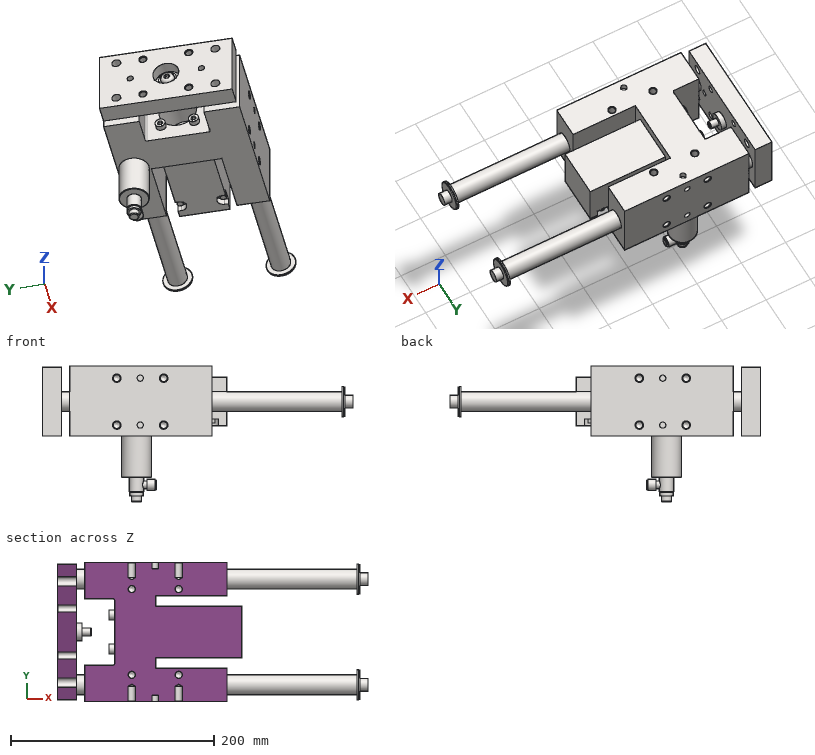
import cadquery as cq
import math

AXIS_Z = 34.0
ROD_Y = 52.0
ROD_DIA = 20.0
HOLE_PITCH = 46.2
PATTERN = HOLE_PITCH / 2

BLOCK_START = 27.0
BLOCK_LENGTH = 140.0
BLOCK_WIDTH = 137.0
BLOCK_HEIGHT = 69.2
FRONT_NOTCH_DEPTH = 29.5
FRONT_NOTCH_WIDTH = 65.2
FRONT_NOTCH_FILLET = 1.5
REAR_NOTCH_DEPTH = 70.0
REAR_NOTCH_WIDTH = 71.0
BLOCK_END = BLOCK_START + BLOCK_LENGTH
FRONT_NOTCH_FLOOR = BLOCK_START + FRONT_NOTCH_DEPTH
REAR_NOTCH_FLOOR = BLOCK_END - REAR_NOTCH_DEPTH

CENTRE_BORE_DIA = 38.0
CENTRE_BORE_DEPTH = 36.7
HEAD_DIA = 10.0
HEAD_HEIGHT = 5.5
HEAD_Y = 16.8
HEAD_RISE = 17.5
SOCKET_WIDTH = 4.5
SOCKET_DEPTH = 2.8
HEX_SIDES = 6

BOX_END = 181.8
BOX_WIDTH = 50.8
BOX_HEIGHT = 48.0
BOX_BOTTOM = 10.0
POCKET_DIA = 13.0
POCKET_HEIGHT = 6.7
POCKET_INSET = 3.7
POCKET_PIN_DIA = 6.0
POCKET_PIN_LENGTH = 3.7

HOLE_X = 96.5
THREAD_DIA = 6.7
THREAD_MOUTH_DIA = 8.3
THREAD_DEPTH = 15.0
DOWEL_DIA = 6.0
DOWEL_DEPTH = 6.0
TOP_THREAD_Y = 42.2
TOP_DOWEL_Y = 59.7
DRILL_POINT_ANGLE = 118

BOSS_X = 92.7
BOSS_DIA = 30.0
BOSS_LENGTH = 40.7
BOSS_CHAMFER = 0.5
PLUG_DIA = 14.5
PLUG_LENGTH = 13.8
GROOVE_DIA = 13.2
GROOVE_LENGTH = 1.2
COLLAR_DIA = 13.8
COLLAR_LENGTH = 3.0
TIP_DIA = 10.0
TIP_LENGTH = 6.0
TIP_CHAMFER = 1.0
NOZZLE_Z = -48.0
NOZZLE_NECK_DIA = 8.0
NOZZLE_NECK_END = 10.0
NOZZLE_BODY_DIA = 11.3
NOZZLE_BODY_END = 18.0
NOZZLE_RIM_DIA = 9.8
NOZZLE_RIM_END = 20.0
NOZZLE_RIM_CHAMFER = 1.0

PLATE_THICKNESS = 19.0
PLATE_WIDTH = 133.7
PLATE_HEIGHT = 68.0
CORNER_HOLE_DIA = 9.0
CORNER_HOLE_Y = 50.0
PLATE_DOWEL_Y = 35.8
RECESS_DIA = 26.0
RECESS_DEPTH = 12.2
FLANGE_START = 295.0
FLANGE_THICKNESS = 1.5
FLANGE_DIA = 30.0
RIM_THICKNESS = 1.2
RIM_DIA = 29.0
ROD_STUB_DIA = 13.0
TOTAL_LENGTH = 306.0
WASHER_DIA = 18.0
WASHER_HEIGHT = 3.7
BUTTON_DIA = 14.0
BUTTON_HEIGHT = 4.3
BUTTON_ROUNDING = 3.7
BUTTON_SOCKET_WIDTH = 5.0
COLLAR_BEHIND_DIA = 17.7
COLLAR_BEHIND_LENGTH = 5.5
SCREW_DIA = 8.0
SCREW_LENGTH = 9.2
SCREW_CHAMFER = 1.0


def box(x0, x1, width, z0, z1):
    """Box between two X and two Z stations, centred on Y = 0."""
    block = cq.Workplane("XY").box(x1 - x0, width, z1 - z0, centered=(False, True, False))
    return block.translate((x0, 0, z0))


def cylinder(start, direction, diameter, length):
    """Cylinder growing from a start point along a direction."""
    solid = cq.Solid.makeCylinder(diameter / 2, length, cq.Vector(*start), cq.Vector(*direction))
    return cq.Workplane(obj=solid)


def cone(start, direction, start_dia, end_dia, length):
    """Cone frustum growing from a start point along a direction."""
    solid = cq.Solid.makeCone(start_dia / 2, end_dia / 2, length, cq.Vector(*start), cq.Vector(*direction))
    return cq.Workplane(obj=solid)


def hex_socket(start_x, y, z, width, depth):
    """Hexagonal socket cutter entering along +X."""
    across_corners = width / math.cos(math.pi / HEX_SIDES)
    return cq.Workplane("YZ", origin=(start_x, y, z)).polygon(HEX_SIDES, across_corners).extrude(depth)


def threaded_hole(start, direction):
    """Blind tapped-hole cutter: countersunk mouth, bore and drill point."""
    mouth_depth = (THREAD_MOUTH_DIA - THREAD_DIA) / 2
    point_length = THREAD_DIA / 2 / math.tan(math.radians(DRILL_POINT_ANGLE / 2))
    bottom = cq.Vector(*start) + cq.Vector(*direction) * THREAD_DEPTH
    bore = cylinder(start, direction, THREAD_DIA, THREAD_DEPTH)
    mouth = cone(start, direction, THREAD_MOUTH_DIA, THREAD_DIA, mouth_depth)
    point = cone(bottom.toTuple(), direction, THREAD_DIA, 0, point_length)
    return bore.union(mouth).union(point)


def make_block():
    """H-shaped block with the two rod bores."""
    block = box(BLOCK_START, BLOCK_END, BLOCK_WIDTH, 0, BLOCK_HEIGHT)
    front_notch = box(BLOCK_START, FRONT_NOTCH_FLOOR, FRONT_NOTCH_WIDTH, 0, BLOCK_HEIGHT)
    front_notch = front_notch.edges("|Z and >X").fillet(FRONT_NOTCH_FILLET)
    rear_notch = box(REAR_NOTCH_FLOOR, BLOCK_END, REAR_NOTCH_WIDTH, 0, BLOCK_HEIGHT)
    block = block.cut(front_notch).cut(rear_notch)
    for side in (-1, 1):
        block = block.cut(cylinder((BLOCK_START, side * ROD_Y, AXIS_Z), (1, 0, 0), ROD_DIA, BLOCK_LENGTH))
    return block


def make_drive_box():
    """Box behind the web, with an open round-ended screw pocket low on each side."""
    drive = box(REAR_NOTCH_FLOOR, BOX_END, BOX_WIDTH, BOX_BOTTOM, BOX_BOTTOM + BOX_HEIGHT)
    for side in (-1, 1):
        centre_y = side * (BOX_WIDTH / 2 - POCKET_INSET)
        foot = (BLOCK_END, centre_y, BOX_BOTTOM)
        pocket = cylinder(foot, (0, 0, 1), POCKET_DIA, POCKET_HEIGHT)
        opening = cq.Workplane("XY").box(POCKET_DIA, POCKET_DIA, POCKET_HEIGHT, centered=(True, True, False))
        pocket = pocket.union(opening.translate((BLOCK_END, centre_y + side * POCKET_DIA / 2, BOX_BOTTOM)))
        roof = (BLOCK_END, centre_y, BOX_BOTTOM + POCKET_HEIGHT)
        pin = cylinder(roof, (0, 0, -1), POCKET_PIN_DIA, POCKET_PIN_LENGTH)
        drive = drive.cut(pocket).union(pin)
    return drive


def add_cap_screws(housing):
    """Four socket screw heads around the centre bore on the front notch floor."""
    for y in (-HEAD_Y, HEAD_Y):
        for dz in (-HEAD_RISE, HEAD_RISE):
            z = AXIS_Z + dz
            head = cylinder((FRONT_NOTCH_FLOOR, y, z), (-1, 0, 0), HEAD_DIA, HEAD_HEIGHT)
            socket = hex_socket(FRONT_NOTCH_FLOOR - HEAD_HEIGHT, y, z, SOCKET_WIDTH, SOCKET_DEPTH)
            housing = housing.union(head.cut(socket))
    return housing


def cut_side_holes(housing):
    """Four tapped and two dowel holes in each long side."""
    for side in (-1, 1):
        face_y = side * BLOCK_WIDTH / 2
        inward = (0, -side, 0)
        for z in (AXIS_Z - PATTERN, AXIS_Z + PATTERN):
            for x in (HOLE_X - PATTERN, HOLE_X + PATTERN):
                housing = housing.cut(threaded_hole((x, face_y, z), inward))
            housing = housing.cut(cylinder((HOLE_X, face_y, z), inward, DOWEL_DIA, DOWEL_DEPTH))
    return housing


def cut_top_holes(housing):
    """Four tapped and two dowel holes in the top face."""
    inward = (0, 0, -1)
    for side in (-1, 1):
        for x in (HOLE_X - PATTERN, HOLE_X + PATTERN):
            housing = housing.cut(threaded_hole((x, side * TOP_THREAD_Y, BLOCK_HEIGHT), inward))
        dowel_start = (HOLE_X, side * TOP_DOWEL_Y, BLOCK_HEIGHT)
        housing = housing.cut(cylinder(dowel_start, inward, DOWEL_DIA, DOWEL_DEPTH))
    return housing


def make_sensor():
    """Round boss, stepped plug and side nozzle below one rod."""
    down = (0, 0, -1)
    boss = cylinder((BOSS_X, ROD_Y, 0), down, BOSS_DIA, BOSS_LENGTH).faces("<Z").chamfer(BOSS_CHAMFER)
    groove_z = -BOSS_LENGTH - PLUG_LENGTH
    collar_z = groove_z - GROOVE_LENGTH
    tip_z = collar_z - COLLAR_LENGTH
    plug = cylinder((BOSS_X, ROD_Y, -BOSS_LENGTH), down, PLUG_DIA, PLUG_LENGTH)
    groove = cylinder((BOSS_X, ROD_Y, groove_z), down, GROOVE_DIA, GROOVE_LENGTH)
    collar = cylinder((BOSS_X, ROD_Y, collar_z), down, COLLAR_DIA, COLLAR_LENGTH)
    tip = cylinder((BOSS_X, ROD_Y, tip_z), down, TIP_DIA, TIP_LENGTH).faces("<Z").chamfer(TIP_CHAMFER)
    sensor = boss.union(plug).union(groove).union(collar).union(tip)
    nozzle_start = (BOSS_X, ROD_Y, NOZZLE_Z)
    sensor = sensor.union(cylinder(nozzle_start, (1, 0, 0), NOZZLE_NECK_DIA, NOZZLE_NECK_END))
    body_start = (BOSS_X + NOZZLE_NECK_END, ROD_Y, NOZZLE_Z)
    sensor = sensor.union(cylinder(body_start, (1, 0, 0), NOZZLE_BODY_DIA, NOZZLE_BODY_END - NOZZLE_NECK_END))
    rim_start = (BOSS_X + NOZZLE_BODY_END, ROD_Y, NOZZLE_Z)
    rim = cylinder(rim_start, (1, 0, 0), NOZZLE_RIM_DIA, NOZZLE_RIM_END - NOZZLE_BODY_END)
    return sensor.union(rim.faces(">X").chamfer(NOZZLE_RIM_CHAMFER))


def make_housing():
    """Stationary body: block, drive box, screw heads, mounting holes and sensor."""
    housing = make_block().union(make_drive_box())
    bore_start = (FRONT_NOTCH_FLOOR, 0, AXIS_Z)
    housing = housing.cut(cylinder(bore_start, (1, 0, 0), CENTRE_BORE_DIA, CENTRE_BORE_DEPTH))
    housing = add_cap_screws(housing)
    housing = cut_side_holes(housing)
    housing = cut_top_holes(housing)
    return housing.union(make_sensor())


def make_plate():
    """Front plate with its through holes and the central screw recess."""
    plate = box(0, PLATE_THICKNESS, PLATE_WIDTH, AXIS_Z - PLATE_HEIGHT / 2, AXIS_Z + PLATE_HEIGHT / 2)
    inward = (1, 0, 0)
    mouth_depth = (THREAD_MOUTH_DIA - THREAD_DIA) / 2
    for side in (-1, 1):
        for z in (AXIS_Z - PATTERN, AXIS_Z + PATTERN):
            thread_start = (0, side * PATTERN, z)
            plate = plate.cut(cylinder(thread_start, inward, THREAD_DIA, PLATE_THICKNESS))
            plate = plate.cut(cone(thread_start, inward, THREAD_MOUTH_DIA, THREAD_DIA, mouth_depth))
            plate = plate.cut(cylinder((0, side * CORNER_HOLE_Y, z), inward, CORNER_HOLE_DIA, PLATE_THICKNESS))
        plate = plate.cut(cylinder((0, side * PLATE_DOWEL_Y, AXIS_Z), inward, DOWEL_DIA, PLATE_THICKNESS))
    return plate.cut(cylinder((0, 0, AXIS_Z), inward, RECESS_DIA, RECESS_DEPTH))


def make_rod(y):
    """Guide rod with its stepped end flange and stub."""
    rod = cylinder((PLATE_THICKNESS, y, AXIS_Z), (1, 0, 0), ROD_DIA, FLANGE_START - PLATE_THICKNESS)
    flange = cylinder((FLANGE_START, y, AXIS_Z), (1, 0, 0), FLANGE_DIA, FLANGE_THICKNESS)
    rim_start = FLANGE_START + FLANGE_THICKNESS
    rim = cylinder((rim_start, y, AXIS_Z), (1, 0, 0), RIM_DIA, RIM_THICKNESS)
    stub_start = rim_start + RIM_THICKNESS
    stub = cylinder((stub_start, y, AXIS_Z), (1, 0, 0), ROD_STUB_DIA, TOTAL_LENGTH - stub_start)
    return rod.union(flange).union(rim).union(stub)


def make_coupling_screw():
    """Button-head screw in the plate recess, with its collar and threaded end behind the plate."""
    inward = (1, 0, 0)
    outward = (-1, 0, 0)
    washer = cylinder((RECESS_DEPTH, 0, AXIS_Z), outward, WASHER_DIA, WASHER_HEIGHT)
    seat_x = RECESS_DEPTH - WASHER_HEIGHT
    head = cylinder((seat_x, 0, AXIS_Z), outward, BUTTON_DIA, BUTTON_HEIGHT)
    head = head.faces("<X").edges().fillet(BUTTON_ROUNDING)
    head = head.cut(hex_socket(seat_x - BUTTON_HEIGHT, 0, AXIS_Z, BUTTON_SOCKET_WIDTH, SOCKET_DEPTH))
    collar = cylinder((PLATE_THICKNESS, 0, AXIS_Z), inward, COLLAR_BEHIND_DIA, COLLAR_BEHIND_LENGTH)
    screw_start = (PLATE_THICKNESS + COLLAR_BEHIND_LENGTH, 0, AXIS_Z)
    screw = cylinder(screw_start, inward, SCREW_DIA, SCREW_LENGTH).faces(">X").chamfer(SCREW_CHAMFER)
    return washer.union(head), collar.union(screw)


def make_slide():
    """Moving body: plate, both guide rods and the coupling screw."""
    slide = make_plate()
    for y in (-ROD_Y, ROD_Y):
        slide = slide.union(make_rod(y))
    for screw_part in make_coupling_screw():
        slide = slide.union(screw_part)
    return slide


housing = make_housing()
slide = make_slide()

result = cq.Compound.makeCompound([housing.solids().val(), slide.solids().val()])